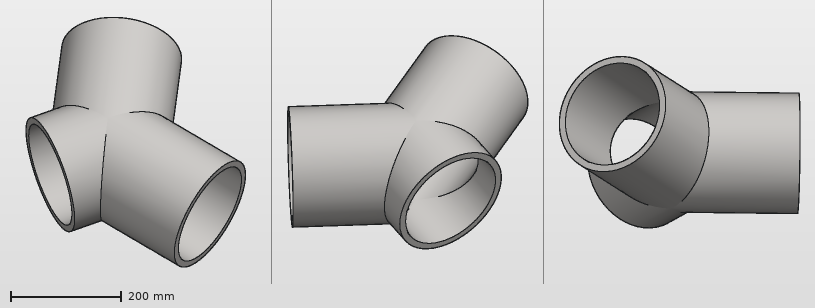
import cadquery as cq
import math

overall_width = 505.5
outer_diameter = 219.0
bore_diameter = 193.5
arm_rise = 30.0

rise = math.radians(arm_rise)
end_face_reach = outer_diameter / 2 * math.sin(rise)
arm_length = (overall_width / 2 - end_face_reach) / math.cos(rise)
leg_length = arm_length / 2

branches = [
    (arm_rise, arm_length),
    (180 - arm_rise, arm_length),
    (270, leg_length),
]


def branch_cylinder(diameter, angle, length):
    """Solid cylinder running from the origin along a direction in the XY plane."""
    direction = cq.Vector(math.cos(math.radians(angle)), math.sin(math.radians(angle)), 0)
    cylinder = cq.Solid.makeCylinder(diameter / 2, length, cq.Vector(0, 0, 0), direction)
    return cq.Workplane(obj=cylinder)


def wye(diameter):
    """Three cylinders of one diameter joined at the origin, meeting in mitred seams."""
    body = cq.Workplane()
    for angle, length in branches:
        body = body.add(branch_cylinder(diameter, angle, length))
    return body.combine()


result = wye(outer_diameter).cut(wye(bore_diameter))